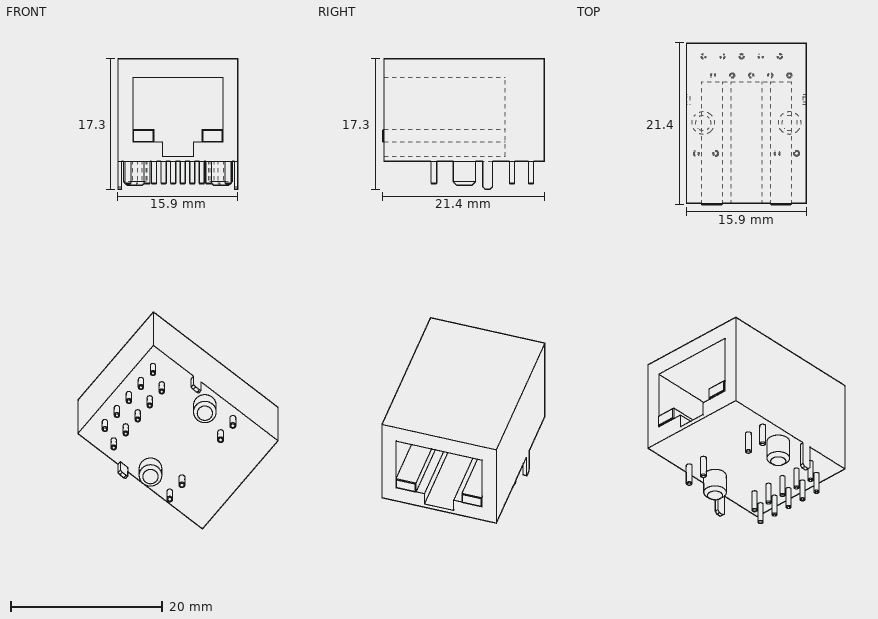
import cadquery as cq

body_width = 15.9
body_depth = 21.23
body_height = 13.59
overall_depth = 21.4
overall_height = 17.3

opening_width = 11.95
opening_depth = 16.05
opening_top = 11.09
ledge_height = 2.53
notch_width = 4.07
notch_floor = 0.62

light_width = 2.78
light_height = 1.67
light_protrusion = overall_depth - body_depth
light_chamfer = 0.1

contact_diameter = 0.7
contact_count = 10
contact_pitch = 1.26
contact_rows = (19.47, 16.95)
light_pin_diameter = 0.8
light_pin_offsets = (4.07, 6.63)
light_pin_y = 6.63
pin_length = 3.02
pin_chamfer = 0.13

peg_diameter = 3.0
peg_length = 3.19
peg_chamfer = 0.5
peg_offset = 5.71
peg_y = 10.65

tab_thickness = 0.5
tab_width = 1.3
tab_length = overall_height - body_height
tab_chamfer = 0.32
tab_y = 13.74

SIDES = (-1, 1)


def block(width, depth, height, x, front, bottom):
    """Box centred on x, extending back from front and up from bottom."""
    return (
        cq.Workplane("XY")
        .box(width, depth, height, centered=(True, False, False))
        .translate((x, front, bottom))
    )


def post(x, y, diameter, length, chamfer):
    """Round post hanging from the underside with a chamfered tip."""
    return (
        cq.Workplane("XY")
        .center(x, y)
        .circle(diameter / 2)
        .extrude(-length)
        .faces("<Z")
        .chamfer(chamfer)
    )


def light_bar(side):
    """Bar from the back of the opening to just beyond the front face."""
    x = side * (opening_width - light_width) / 2
    bar_depth = opening_depth + light_protrusion
    bar = block(light_width, bar_depth, light_height, x, -light_protrusion, ledge_height)
    return bar.faces("<Y").edges().chamfer(light_chamfer)


def shield_tab(side):
    """Flat tab with both corners of its tip cut off."""
    x = side * (body_width - tab_thickness) / 2
    tab = block(tab_thickness, tab_width, tab_length, x, tab_y - tab_width / 2, -tab_length)
    return tab.faces("<Z").edges("|X").chamfer(tab_chamfer)


result = block(body_width, body_depth, body_height, 0, 0, 0)
result = result.cut(
    block(opening_width, opening_depth, opening_top - ledge_height, 0, 0, ledge_height)
)
result = result.cut(
    block(notch_width, opening_depth, ledge_height - notch_floor, 0, 0, notch_floor)
)

for side in SIDES:
    result = result.union(light_bar(side))
    result = result.union(shield_tab(side))
    result = result.union(post(side * peg_offset, peg_y, peg_diameter, peg_length, peg_chamfer))
    for offset in light_pin_offsets:
        result = result.union(
            post(side * offset, light_pin_y, light_pin_diameter, pin_length, pin_chamfer)
        )

for index in range(contact_count):
    x = (index - (contact_count - 1) / 2) * contact_pitch
    y = contact_rows[index % len(contact_rows)]
    result = result.union(post(x, y, contact_diameter, pin_length, pin_chamfer))